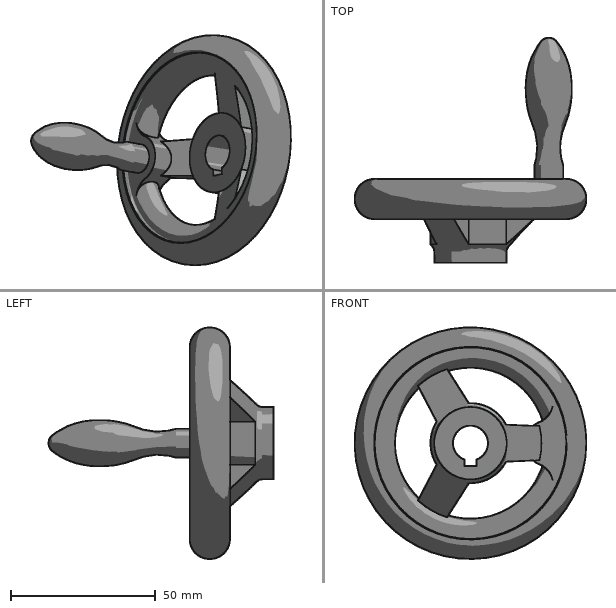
import math

import cadquery as cq


RIM_OUTER_RADIUS = 40.0
RIM_LIP_RADIUS = 33.0
RIM_RING_RADIUS = 31.0
RIM_INNER_RADIUS = 26.0
RIM_FRONT_Y = 15.0
LIP_FILLET = 0.25
rim_half_width = RIM_OUTER_RADIUS - RIM_LIP_RADIUS
rim_back_y = RIM_FRONT_Y + 2 * rim_half_width
ring_half_width = RIM_RING_RADIUS - RIM_INNER_RADIUS
rim_mid_y = RIM_FRONT_Y + rim_half_width
ring_front_y = rim_mid_y - ring_half_width
ring_back_y = rim_mid_y + ring_half_width

COLLAR_RADIUS = 12.5
HUB_RADIUS = 13.85
HUB_BACK_Y = 15.5
HUB_CONE_START_Y = 5.0
COLLAR_FILLET = 2.5
BORE_RADIUS = 6.0
KEYWAY_WIDTH = 4.0
KEYWAY_DEPTH = 7.8

SPOKE_ANGLES = (0, 120, 240)
SPOKE_HUB_WIDTH = 12.8
SPOKE_HUB_WIDTH_RADIUS = 12.8
SPOKE_TAPER = 2.5
SPOKE_END_RADIUS = 29.0
SPOKE_FRONT_SLOPE = 1.0
SPOKE_BACK_SLOPE = 0.715

GRIP_X = 27.0
BOSS_RADIUS = 8.0
BOSS_BLEND_RADIUS = 7.5
BOSS_SIDE_X = 28.5

GRIP_BASE_RADIUS = 5.0
NECK_RADIUS = 4.0
NECK_Y = 39.8
NECK_CURVE = 19.0
NECK_END_Y = 47.2
BELLY_RADIUS = 8.0
BELLY_Y = 58.4
TIP_RADIUS = 2.65
TIP_Y = 76.4
GRIP_END_Y = 77.65


def spoke_front_y(radius):
    return HUB_CONE_START_Y + SPOKE_FRONT_SLOPE * (radius - COLLAR_RADIUS)


def spoke_back_y(radius):
    return HUB_BACK_Y + SPOKE_BACK_SLOPE * (radius - HUB_RADIUS)


def turned(profile, axis_x=0.0):
    """Full revolution of an XY profile about the line x = axis_x."""
    return profile.close().revolve(360, (axis_x, 0, 0), (axis_x, 1, 0))


def make_rim():
    """Thick rounded outer bead stepped down to a narrower rounded inner bead."""
    rim = turned(
        cq.Workplane("XY")
        .moveTo(RIM_LIP_RADIUS, RIM_FRONT_Y)
        .threePointArc((RIM_OUTER_RADIUS, rim_mid_y), (RIM_LIP_RADIUS, rim_back_y))
        .lineTo(RIM_LIP_RADIUS, ring_back_y)
        .lineTo(RIM_RING_RADIUS, ring_back_y)
        .threePointArc((RIM_INNER_RADIUS, rim_mid_y), (RIM_RING_RADIUS, ring_front_y))
        .lineTo(RIM_LIP_RADIUS, ring_front_y)
    )
    lip_edges = rim.edges(cq.selectors.RadiusNthSelector(-1))
    return lip_edges.fillet(LIP_FILLET)


def make_hub():
    """Collar that flares through a cone into the hub body."""
    return turned(
        cq.Workplane("XY")
        .lineTo(COLLAR_RADIUS, 0)
        .lineTo(COLLAR_RADIUS, HUB_CONE_START_Y)
        .lineTo(HUB_RADIUS, spoke_front_y(HUB_RADIUS))
        .lineTo(HUB_RADIUS, HUB_BACK_Y)
        .lineTo(0, HUB_BACK_Y)
    )


def make_spokes():
    """Tapered arms cut from one conical web, front and back both sloping."""
    web = turned(
        cq.Workplane("XY")
        .lineTo(0, HUB_CONE_START_Y)
        .lineTo(COLLAR_RADIUS, HUB_CONE_START_Y)
        .lineTo(SPOKE_END_RADIUS, spoke_front_y(SPOKE_END_RADIUS))
        .lineTo(SPOKE_END_RADIUS, spoke_back_y(SPOKE_END_RADIUS))
        .lineTo(HUB_RADIUS, HUB_BACK_Y)
        .lineTo(0, HUB_BACK_Y)
    )
    taper = math.tan(math.radians(SPOKE_TAPER))
    axis_half_width = SPOKE_HUB_WIDTH / 2 + taper * SPOKE_HUB_WIDTH_RADIUS
    end_half_width = axis_half_width - taper * RIM_OUTER_RADIUS
    arm = (
        cq.Workplane("XZ")
        .polyline(
            [
                (0, axis_half_width),
                (RIM_OUTER_RADIUS, end_half_width),
                (RIM_OUTER_RADIUS, -end_half_width),
                (0, -axis_half_width),
            ]
        )
        .close()
        .extrude(-GRIP_END_Y)
    )
    arms = arm
    for angle in SPOKE_ANGLES[1:]:
        arms = arms.union(arm.rotate((0, 0, 0), (0, 1, 0), angle))
    return web.intersect(arms)


def make_boss():
    """Plate flush with the inner ring, rounded about the grip and blended outward."""
    outer_z = math.sqrt(RIM_LIP_RADIUS**2 - BOSS_SIDE_X**2)
    blend_x = BOSS_SIDE_X - BOSS_BLEND_RADIUS
    blend_z = math.sqrt((BOSS_RADIUS + BOSS_BLEND_RADIUS) ** 2 - (GRIP_X - blend_x) ** 2)
    boss_share = BOSS_RADIUS / (BOSS_RADIUS + BOSS_BLEND_RADIUS)
    tangent_x = GRIP_X + boss_share * (blend_x - GRIP_X)
    tangent_z = boss_share * blend_z
    return (
        cq.Workplane("XZ", origin=(0, ring_front_y, 0))
        .moveTo(BOSS_SIDE_X, -outer_z)
        .threePointArc((RIM_LIP_RADIUS, 0), (BOSS_SIDE_X, outer_z))
        .lineTo(BOSS_SIDE_X, blend_z)
        .tangentArcPoint((tangent_x, tangent_z), relative=False)
        .threePointArc((GRIP_X - BOSS_RADIUS, 0), (tangent_x, -tangent_z))
        .tangentArcPoint((BOSS_SIDE_X, -blend_z), relative=False)
        .close()
        .extrude(ring_front_y - ring_back_y)
    )


def make_grip():
    """Turned grip: straight base, waisted neck, smooth belly, domed tip."""
    neck_centre = NECK_RADIUS + NECK_CURVE
    neck_start_y = NECK_Y - math.sqrt(NECK_CURVE**2 - (neck_centre - GRIP_BASE_RADIUS) ** 2)
    neck_rise = NECK_END_Y - NECK_Y
    neck_drop = math.sqrt(NECK_CURVE**2 - neck_rise**2)
    neck_end_radius = neck_centre - neck_drop
    dome_height = GRIP_END_Y - TIP_Y
    dome_radius = (TIP_RADIUS**2 + dome_height**2) / (2 * dome_height)
    dome_rim_rise = dome_radius - dome_height
    return turned(
        cq.Workplane("XY")
        .moveTo(GRIP_X, rim_mid_y)
        .lineTo(GRIP_X + GRIP_BASE_RADIUS, rim_mid_y)
        .lineTo(GRIP_X + GRIP_BASE_RADIUS, neck_start_y)
        .threePointArc((GRIP_X + NECK_RADIUS, NECK_Y), (GRIP_X + neck_end_radius, NECK_END_Y))
        .spline(
            [(GRIP_X + BELLY_RADIUS, BELLY_Y), (GRIP_X + TIP_RADIUS, TIP_Y)],
            tangents=[(neck_rise, neck_drop), (-dome_rim_rise, TIP_RADIUS)],
            includeCurrent=True,
        )
        .radiusArc((GRIP_X, GRIP_END_Y), -dome_radius),
        GRIP_X,
    )


def make_bore():
    """Through bore with a keyway on its -Z side."""
    bore = cq.Workplane("XZ").circle(BORE_RADIUS).extrude(-HUB_BACK_Y)
    keyway = (
        cq.Workplane("XZ")
        .center(0, -KEYWAY_DEPTH / 2)
        .rect(KEYWAY_WIDTH, KEYWAY_DEPTH)
        .extrude(-HUB_BACK_Y)
    )
    return bore.union(keyway)


def round_collar(body):
    """Concave fillet where the collar meets the cone."""
    margin = 0.1
    reach = COLLAR_RADIUS + margin
    corner = cq.selectors.BoxSelector(
        (-reach, HUB_CONE_START_Y - margin, -reach),
        (reach, HUB_CONE_START_Y + margin, reach),
        boundingbox=True,
    )
    return body.edges(corner).fillet(COLLAR_FILLET)


body = round_collar(make_hub().union(make_spokes()))
result = body.union(make_rim()).union(make_boss()).union(make_grip()).cut(make_bore())